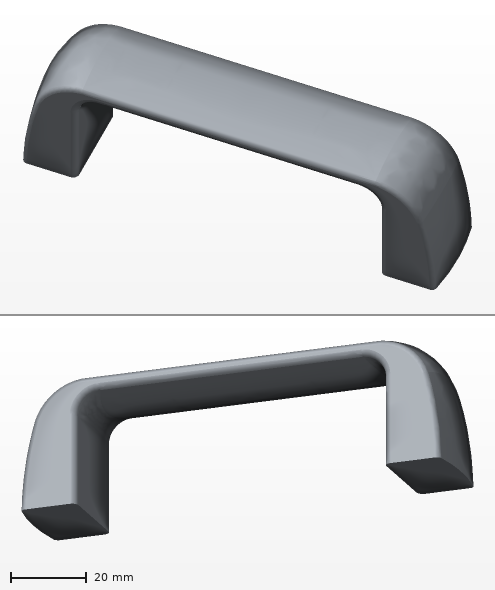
import cadquery as cq

length = 120.8
width = 26.0
height = 37.0
half_width = width / 2

top_crown = 2.3
leg_crown = 1.3
top_half_length = 42.0
shoulder_x = 56.6
shoulder_z = 26.6
leg_arc_radius = 94.2
shoulder_arc_radius = 15.5

opening_half_length = 43.5
opening_height = 28.7
underside_crown = 2.9
opening_corner_radius_middle = 4.0
opening_corner_radius_side = 6.9

outer_edge_radius = 1.5
inner_edge_radius = 1.8


def outer_profile(plane, leg_inset, top_drop):
    """Closed outline of the handle, pulled in by leg_inset and down by top_drop."""
    foot_x = length / 2 - leg_inset
    joint = (shoulder_x - leg_inset, shoulder_z - top_drop)
    top_z = height - top_drop
    return (
        plane.moveTo(-foot_x, 0)
        .radiusArc((-joint[0], joint[1]), leg_arc_radius)
        .radiusArc((-top_half_length, top_z), shoulder_arc_radius)
        .lineTo(top_half_length, top_z)
        .radiusArc(joint, shoulder_arc_radius)
        .radiusArc((foot_x, 0), leg_arc_radius)
        .close()
    )


def opening_profile(plane, roof_z, corner_radius):
    """Closed outline of the opening, with rounded upper corners."""
    corner_x = opening_half_length - corner_radius
    corner_z = roof_z - corner_radius
    return (
        plane.moveTo(-opening_half_length, 0)
        .lineTo(-opening_half_length, corner_z)
        .radiusArc((-corner_x, roof_z), corner_radius)
        .lineTo(corner_x, roof_z)
        .radiusArc((opening_half_length, corner_z), corner_radius)
        .lineTo(opening_half_length, 0)
        .close()
    )


def loft_across_width(profile, middle_sizes, side_sizes):
    """Smooth body through a side outline, the middle outline and the other side outline."""
    wires = []
    for y, sizes in ((-half_width, side_sizes), (0, middle_sizes), (half_width, side_sizes)):
        plane = cq.Workplane("XZ", origin=(0, y, 0))
        wires.append(profile(plane, *sizes).val())
    return cq.Workplane(cq.Solid.makeLoft(wires))


outer_body = loft_across_width(outer_profile, (0, 0), (leg_crown, top_crown))
opening = loft_across_width(
    opening_profile,
    (opening_height, opening_corner_radius_middle),
    (opening_height + underside_crown, opening_corner_radius_side),
)
handle = outer_body.cut(opening)

margin = 0.6
opening_edges = cq.selectors.BoxSelector(
    (-opening_half_length - margin, -width, 0),
    (opening_half_length + margin, width, opening_height + underside_crown + margin),
)
outer_edges = cq.selectors.InverseSelector(opening_edges)

for edge_group, edge_radius in ((outer_edges, outer_edge_radius), (opening_edges, inner_edge_radius)):
    handle = handle.faces("<Y or >Y").edges("not(<Z)").edges(edge_group).fillet(edge_radius)

result = handle